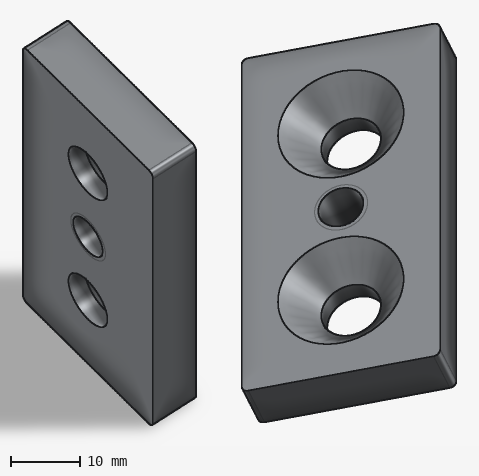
import cadquery as cq

width = 30.0
thickness = 8.0
height = 60.0
corner_radius = 1.0

side_hole_diameter = 9.0
side_hole_spacing = height / 2
countersink_diameter = 19.0
countersink_angle = 90.0

tapping_diameter = 6.8
thread_diameter = 8.0


def make_plate():
    """Upright plate centred on the origin, with its four corners rounded."""
    plate = cq.Workplane("XY").box(width, thickness, height)
    return plate.edges("|Y").fillet(corner_radius)


def cut_side_holes(body):
    """Through holes, countersunk from the +Y face."""
    offset = side_hole_spacing / 2
    back_face = body.faces(">Y").workplane(origin=(0, 0, 0))
    holes = back_face.pushPoints([(0, -offset), (0, offset)])
    return holes.cskHole(side_hole_diameter, countersink_diameter, countersink_angle)


def cut_center_hole(body):
    """Through hole whose thread diameter stays marked as a ring flush with the faces."""
    opened = body.faces("<Y").workplane(origin=(0, 0, 0)).hole(thread_diameter)
    ring = (
        cq.Workplane("XZ", origin=(0, thickness / 2, 0))
        .circle(thread_diameter / 2)
        .circle(tapping_diameter / 2)
        .extrude(thickness)
    )
    return opened.union(ring, clean=False)


result = cut_center_hole(cut_side_holes(make_plate()))